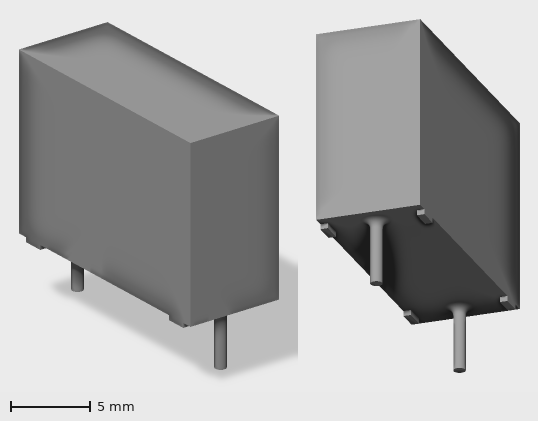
import cadquery as cq

BODY_LENGTH = 18.0
BODY_WIDTH = 7.0
TOTAL_HEIGHT = 17.0

LEAD_DIAMETER = 0.8
LEAD_PITCH = 15.0
LEAD_LENGTH = 4.28
FLARE_RADIUS = 0.54

FOOT_LENGTH = 1.5
FOOT_WIDTH = 0.5
FOOT_HEIGHT = 0.35

BODY_HEIGHT = TOTAL_HEIGHT - LEAD_LENGTH
LEAD_RADIUS = LEAD_DIAMETER / 2
FOOT_OFFSET_Y = (BODY_WIDTH - FOOT_WIDTH) / 2


def make_body():
    return cq.Workplane("XY").box(BODY_LENGTH, BODY_WIDTH, BODY_HEIGHT, centered=(True, True, False))


def make_feet():
    """Four rectangular feet, flush with the long side faces."""
    return (
        cq.Workplane("XY")
        .rarray(LEAD_PITCH, 2 * FOOT_OFFSET_Y, 2, 2)
        .rect(FOOT_LENGTH, FOOT_WIDTH)
        .extrude(-FOOT_HEIGHT)
    )


def add_leads(body):
    """Join the two leads to the underside and fillet their roots."""
    leads = cq.Workplane("XY").rarray(LEAD_PITCH, 0.18, 2, 1).circle(LEAD_RADIUS).extrude(-LEAD_LENGTH)
    lead_roots = cq.selectors.BoxSelector(
        (-BODY_LENGTH / 2, -LEAD_DIAMETER, -LEAD_RADIUS),
        (BODY_LENGTH / 2, LEAD_DIAMETER, LEAD_RADIUS),
    )
    return body.union(leads).edges("%CIRCLE").edges(lead_roots).fillet(FLARE_RADIUS)


result = add_leads(make_body()).union(make_feet())